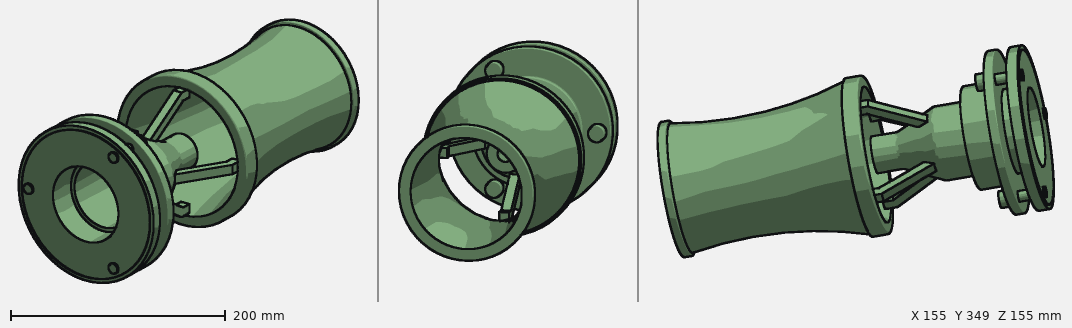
import cadquery as cq
import math

TOTAL_LENGTH = 349

FILLET = 2.0
SMALL_FILLET = 1.0
CONE_FILLET = 5.2

PLATE_DIAMETER = 155.0
RAISED_FACE_DIAMETER = 147.0
RAISED_FACE_HEIGHT = 0.7
SCREW_TIP_LENGTH = 1.7
BASE_PLATE_THICKNESS = 10.8
NECK_DIAMETER = 80.0
NECK_INSERTION = 3.5
MOUTH_DIAMETER = 75.0
NECK_BORE_DIAMETER = 73.3
PLATE_GAP = 12.5

CLAMP_PLATE_THICKNESS = 9.0
HUB_DIAMETER = 98.0
HUB_HEIGHT = 29.0
BARREL_DIAMETER = 70.0
BARREL_LENGTH = 29.5
CONE_LENGTH = 37.7
TUBE_DIAMETER = 35
TUBE_LENGTH = 24.8
NOZZLE_BORE_DIAMETER = 65.3
TUBE_BORE_DIAMETER = 14.3

SHROUD_Y = 155.0
BAND_DIAMETER = 150
BAND_LENGTH = 15.7
RIM_DIAMETER = 128.0
RIM_LENGTH = 8.0
SHROUD_INLET_RADIUS = 73.0
SHROUD_WAIST_RADIUS = 56.5
SHROUD_WAIST_Y = 262.5
SHROUD_OUTLET_RADIUS = 61.5
SHROUD_WALL = 8.7

STRUT_COUNT = 4
STRUT_WIDTH = 9.5
STRUT_THICKNESS = 9.0
STRUT_OUTER_RADIUS = 63.0
STRUT_BEND_Y = 148.3
STRUT_INSERTION = 5.5
STRUT_ANGLE = math.radians(31.4)

SCREW_COUNT = 3
FIRST_SCREW_ANGLE = math.radians(60)
SCREW_CIRCLE_RADIUS = 65.0
SHANK_DIAMETER = 10.0
HEAD_DIAMETER = 16.0
HEAD_HEIGHT = 9.0

RAISED_FACE_Y = SCREW_TIP_LENGTH
BASE_PLATE_Y = RAISED_FACE_Y + RAISED_FACE_HEIGHT
BASE_PLATE_TOP_Y = BASE_PLATE_Y + BASE_PLATE_THICKNESS
CLAMP_PLATE_Y = BASE_PLATE_TOP_Y + PLATE_GAP
NECK_TOP_Y = CLAMP_PLATE_Y + NECK_INSERTION
CLAMP_PLATE_TOP_Y = CLAMP_PLATE_Y + CLAMP_PLATE_THICKNESS
HEAD_TOP_Y = CLAMP_PLATE_TOP_Y + HEAD_HEIGHT
HUB_TOP_Y = CLAMP_PLATE_TOP_Y + HUB_HEIGHT
CONE_Y = HUB_TOP_Y + BARREL_LENGTH
CONE_TOP_Y = CONE_Y + CONE_LENGTH
TUBE_TOP_Y = CONE_TOP_Y + TUBE_LENGTH
STRUT_TOP_Y = SHROUD_Y + STRUT_INSERTION
BAND_TOP_Y = SHROUD_Y + BAND_LENGTH
RIM_Y = TOTAL_LENGTH - RIM_LENGTH

SELECTION_MARGIN = 0.17


def revolve_about_y(outline):
    """Turn a closed outline drawn in the XY plane into a full round about the Y axis."""
    return outline.close().revolve(360, (0, 0, 0), (0, 1, 0))


def make_cone(start_diameter, end_diameter, y_start, y_end):
    """Frustum on the Y axis."""
    outline = cq.Workplane("XY").polyline([
        (0, y_start),
        (start_diameter / 2, y_start),
        (end_diameter / 2, y_end),
        (0, y_end),
    ])
    return revolve_about_y(outline)


def make_disc(diameter, y_start, y_end):
    """Cylinder on the Y axis."""
    return make_cone(diameter, diameter, y_start, y_end)


def round_ring(part, diameter, y, radius):
    """Fillet the circular edges at station y that are no larger than the given diameter."""
    reach = diameter / 2 + SELECTION_MARGIN
    low_corner = (-reach, y - SELECTION_MARGIN, -reach)
    high_corner = (reach, y + SELECTION_MARGIN, reach)
    ring = cq.selectors.BoxSelector(low_corner, high_corner, boundingbox=True)
    return part.edges(ring).fillet(radius)


def make_screw_cylinders(diameter, y_start, y_end):
    """One cylinder at each screw position."""
    angles = [FIRST_SCREW_ANGLE + index * math.tau / SCREW_COUNT for index in range(SCREW_COUNT)]
    centers = [(SCREW_CIRCLE_RADIUS * math.cos(a), SCREW_CIRCLE_RADIUS * math.sin(a)) for a in angles]
    plane = cq.Workplane("XZ", origin=(0, y_start, 0))
    return plane.pushPoints(centers).circle(diameter / 2).extrude(y_start - y_end)


def make_base():
    """Base plate with its raised face, neck, tapered mouth and screw holes."""
    base = make_disc(PLATE_DIAMETER, BASE_PLATE_Y, BASE_PLATE_TOP_Y)
    base = round_ring(base, PLATE_DIAMETER, BASE_PLATE_TOP_Y, SMALL_FILLET)
    base = base.union(make_disc(RAISED_FACE_DIAMETER, RAISED_FACE_Y, BASE_PLATE_Y))
    base = base.union(make_disc(NECK_DIAMETER, BASE_PLATE_Y, NECK_TOP_Y))
    base = round_ring(base, NECK_DIAMETER, BASE_PLATE_TOP_Y, FILLET)
    base = base.cut(make_cone(MOUTH_DIAMETER, NECK_BORE_DIAMETER, RAISED_FACE_Y, NECK_TOP_Y))
    return base.cut(make_screw_cylinders(SHANK_DIAMETER, 0, BASE_PLATE_TOP_Y))


def make_hub():
    """Clamping plate and hub, still without bores."""
    plate = make_disc(PLATE_DIAMETER, CLAMP_PLATE_Y, CLAMP_PLATE_TOP_Y).edges("%CIRCLE").fillet(SMALL_FILLET)
    hub = make_disc(HUB_DIAMETER, CLAMP_PLATE_Y, HUB_TOP_Y)
    hub = round_ring(hub, HUB_DIAMETER, HUB_TOP_Y, FILLET)
    return round_ring(plate.union(hub), HUB_DIAMETER, CLAMP_PLATE_TOP_Y, FILLET)


def make_nose():
    """Barrel, cone and outlet tube, still without bores."""
    nose = make_disc(BARREL_DIAMETER, CLAMP_PLATE_Y, CONE_Y)
    nose = nose.union(make_cone(BARREL_DIAMETER, TUBE_DIAMETER, CONE_Y, CONE_TOP_Y))
    nose = nose.union(make_disc(TUBE_DIAMETER, CONE_TOP_Y, TUBE_TOP_Y))
    nose = round_ring(nose, BARREL_DIAMETER, CONE_Y, CONE_FILLET)
    return round_ring(nose, TUBE_DIAMETER, CONE_TOP_Y, CONE_FILLET)


def make_strut():
    """Bent strut on the +X side, with its foot at the base of the cone."""
    lean = math.tan(STRUT_ANGLE)
    foot_y = CONE_Y
    inner_radius = STRUT_OUTER_RADIUS - STRUT_THICKNESS
    inner_bend_y = STRUT_BEND_Y + STRUT_THICKNESS * math.tan(STRUT_ANGLE / 2)
    outline = [
        (STRUT_OUTER_RADIUS, STRUT_TOP_Y),
        (STRUT_OUTER_RADIUS, STRUT_BEND_Y),
        (STRUT_OUTER_RADIUS - lean * (STRUT_BEND_Y - foot_y), foot_y),
        (inner_radius - lean * (inner_bend_y - foot_y), foot_y),
        (inner_radius, inner_bend_y),
        (inner_radius, STRUT_TOP_Y),
    ]
    return cq.Workplane("XY").polyline(outline).close().extrude(STRUT_WIDTH / 2, both=True)


def make_bore():
    """Passage through the nozzle, starting with the recess that takes the neck."""
    bore = make_disc(NECK_DIAMETER, CLAMP_PLATE_Y, NECK_TOP_Y)
    bore = bore.union(make_disc(NOZZLE_BORE_DIAMETER, CLAMP_PLATE_Y, CONE_Y))
    bore = bore.union(make_cone(NOZZLE_BORE_DIAMETER, TUBE_BORE_DIAMETER, CONE_Y, CONE_TOP_Y))
    return bore.union(make_disc(TUBE_BORE_DIAMETER, CONE_TOP_Y, TUBE_TOP_Y))


def make_shroud():
    """Waisted shell with its band and rim."""
    outer_waist = (SHROUD_WAIST_RADIUS, SHROUD_WAIST_Y)
    outer_outline = (
        cq.Workplane("XY")
        .moveTo(0, SHROUD_Y)
        .lineTo(BAND_DIAMETER / 2, SHROUD_Y)
        .lineTo(BAND_DIAMETER / 2, BAND_TOP_Y)
        .lineTo(SHROUD_INLET_RADIUS, BAND_TOP_Y)
        .spline([outer_waist, (SHROUD_OUTLET_RADIUS, RIM_Y)], includeCurrent=True)
        .lineTo(RIM_DIAMETER / 2, RIM_Y)
        .lineTo(RIM_DIAMETER / 2, TOTAL_LENGTH)
        .lineTo(0, TOTAL_LENGTH)
    )
    shroud = revolve_about_y(outer_outline)
    shroud = round_ring(shroud, BAND_DIAMETER, SHROUD_Y, FILLET)
    shroud = round_ring(shroud, RIM_DIAMETER, RIM_Y, SMALL_FILLET)
    shroud = round_ring(shroud, RIM_DIAMETER, TOTAL_LENGTH, SMALL_FILLET)

    inner_waist = (SHROUD_WAIST_RADIUS - SHROUD_WALL, SHROUD_WAIST_Y)
    inner_outlet = (SHROUD_OUTLET_RADIUS - SHROUD_WALL, TOTAL_LENGTH)
    inner_outline = (
        cq.Workplane("XY")
        .moveTo(0, SHROUD_Y)
        .lineTo(SHROUD_INLET_RADIUS - SHROUD_WALL, SHROUD_Y)
        .spline([inner_waist, inner_outlet], includeCurrent=True)
        .lineTo(0, TOTAL_LENGTH)
    )
    return shroud.cut(revolve_about_y(inner_outline))


def make_screws():
    """Screws with their heads on the clamping plate and their shanks reaching through the base."""
    shanks = make_screw_cylinders(SHANK_DIAMETER, 0, CLAMP_PLATE_TOP_Y)
    heads = make_screw_cylinders(HEAD_DIAMETER, CLAMP_PLATE_TOP_Y, HEAD_TOP_Y)
    heads = heads.faces(">Y").edges().fillet(SMALL_FILLET)
    return shanks.union(heads)


def make_nozzle():
    """Hub, nose, struts, shroud and screws as one solid."""
    nozzle = make_hub().union(make_nose())
    nozzle = round_ring(nozzle, BARREL_DIAMETER, HUB_TOP_Y, FILLET)
    strut = make_strut()
    for index in range(STRUT_COUNT):
        nozzle = nozzle.union(strut.rotate((0, 0, 0), (0, 1, 0), index * 360 / STRUT_COUNT))
    return nozzle.cut(make_bore()).union(make_shroud()).union(make_screws())


base = make_base()
nozzle = make_nozzle()
result = cq.Compound.makeCompound([base.solids().val(), nozzle.solids().val()])